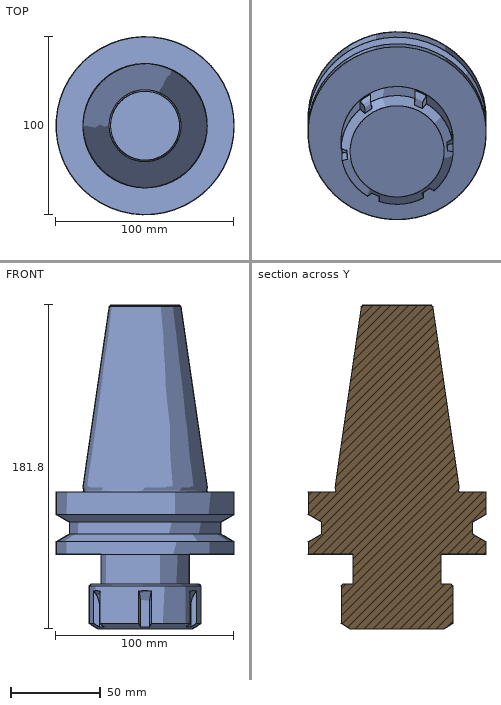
import cadquery as cq
import math

total_height = 181.8

gauge_height = 80.0
gauge_radius = 34.9
taper_slope = 7 / 48
tip_chamfer = 0.7
tip_radius = gauge_radius - (total_height - gauge_height) * taper_slope

band_bottom = 79.3
neck_radius = 34.5
neck_fillet = 0.7

flange_radius = 50.0
flange_top = 77.0
flange_bottom = 42.0
groove_radius = 85.0 / 2
groove_upper_edge = 64.4
groove_lower_edge = 49.0
groove_side_height = (flange_radius - groove_radius) * math.tan(math.radians(30))

body_radius = 24.9

nut_radius = 31.5
nut_height = 25.5
nut_top_chamfer = 1.0
nut_face_radius = 26.4
nut_bottom_chamfer_height = 3.3

slot_count = 6
slot_outer_width = 7.3
slot_floor_width = 4.9
slot_floor_radius = 28.2
slot_straight_top = 13.0
slot_top = 21.6
cut_margin = 1.8


def make_body():
    """Revolve the half section of the shank, flange, body and nut."""
    lower_section = [
        (0, 0),
        (nut_face_radius, 0),
        (nut_radius, nut_bottom_chamfer_height),
        (nut_radius, nut_height - nut_top_chamfer),
        (nut_radius - nut_top_chamfer, nut_height),
        (body_radius, nut_height),
        (body_radius, flange_bottom),
        (flange_radius, flange_bottom),
        (flange_radius, groove_lower_edge),
        (groove_radius, groove_lower_edge + groove_side_height),
        (groove_radius, groove_upper_edge - groove_side_height),
        (flange_radius, groove_upper_edge),
        (flange_radius, flange_top),
        (neck_radius + neck_fillet, flange_top),
    ]
    neck_bottom = flange_top + neck_fillet
    fillet_inset = neck_fillet * (1 - math.sqrt(0.5))
    fillet_middle = (neck_radius + fillet_inset, flange_top + fillet_inset)
    upper_section = [
        (neck_radius, neck_bottom),
        (gauge_radius, band_bottom),
        (gauge_radius, gauge_height),
        (tip_radius + tip_chamfer * taper_slope, total_height - tip_chamfer),
        (tip_radius - tip_chamfer, total_height),
        (0, total_height),
    ]
    return (
        cq.Workplane("XZ")
        .polyline(lower_section)
        .threePointArc(fillet_middle, upper_section[0])
        .polyline(upper_section[1:], includeCurrent=True)
        .close()
        .revolve(360, (0, 0, 0), (0, 1, 0))
    )


def make_slot_cutter():
    """One slot on the +X side: flared side walls and a floor that curves out at its top."""
    depth = nut_radius - slot_floor_radius
    runout_height = slot_top - slot_straight_top
    runout_radius = (runout_height**2 + depth**2) / (2 * depth)
    half_angle = math.asin(runout_height / runout_radius) / 2
    arc_middle = (
        slot_floor_radius + runout_radius * (1 - math.cos(half_angle)),
        slot_straight_top + runout_radius * math.sin(half_angle),
    )
    outer_radius = nut_radius + cut_margin
    side_profile = (
        cq.Workplane("XZ")
        .moveTo(outer_radius, -cut_margin)
        .lineTo(slot_floor_radius, -cut_margin)
        .lineTo(slot_floor_radius, slot_straight_top)
        .threePointArc(arc_middle, (nut_radius, slot_top))
        .lineTo(outer_radius, slot_top)
        .close()
        .extrude(slot_outer_width, both=True)
    )
    flare = (slot_outer_width - slot_floor_width) / 2 / depth
    half_floor = slot_floor_width / 2
    half_outer = slot_outer_width / 2 + flare * cut_margin
    wall_profile = (
        cq.Workplane("XY")
        .workplane(offset=-cut_margin)
        .polyline([
            (slot_floor_radius, -half_floor),
            (outer_radius, -half_outer),
            (outer_radius, half_outer),
            (slot_floor_radius, half_floor),
        ])
        .close()
        .extrude(slot_top + 2 * cut_margin)
    )
    return side_profile.intersect(wall_profile)


result = make_body()
slot_cutter = make_slot_cutter()
for index in range(slot_count):
    angle = 90 + index * 360 / slot_count
    result = result.cut(slot_cutter.rotate((0, 0, 0), (0, 0, 1), angle))